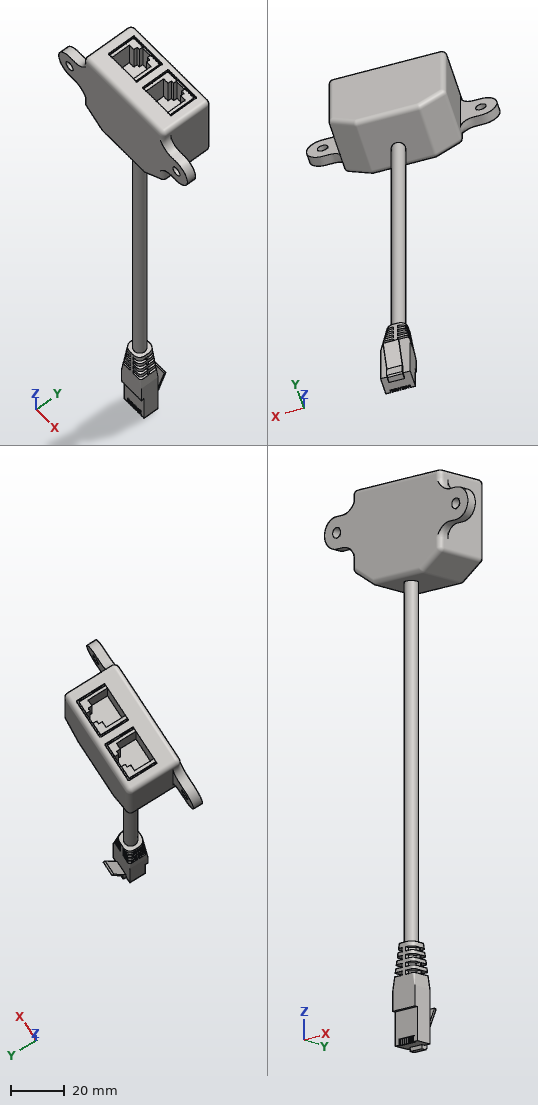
import cadquery as cq
import math

overall_length = 217.1
edge_radius = 2.0

housing_width = 45.5
housing_depth = 23.5
housing_height = 38.1
housing_bottom_width = 25.0
housing_corner_height = 6.8
front_y = -housing_depth / 2

ear_span = 73.75
ear_radius = 6.25
ear_thickness = 4.0
ear_height = 23.1
ear_hole_diameter = 4.0
ear_blend_radius = 5.0

socket_spacing = 19.6
socket_width = 16.4
socket_front_y = -3.6
socket_back_y = 8.8
socket_gap = 0.65
socket_gap_depth = 1.0
socket_face_depth = 0.2
socket_depth = 12.0
port_steps = [(12.4, 4.9), (7.2, 6.5), (4.6, socket_back_y - socket_gap)]

cable_diameter = 5.4
cable_y = -3.6

boot_top_z = -138.8
boot_top_width = 8.3
boot_width = 11.5
boot_depth = 8.1
boot_taper_length = 17.6
boot_length = 25.5
boot_top_corner = 3.0
boot_end_corner = 0.1
groove_count = 4
groove_first = 1.95
groove_pitch = 3.0
groove_height = 1.5
front_spine_width = 1.8
side_spine_width = 0.65

plug_length = 38.6
plug_step = 1.3
contact_count = 8
contact_pitch = 1.02
contact_slot_width = 0.55
contact_slot_height = 2.3
contact_slot_depth = 1.0

latch_width = 6.0
latch_height = 16.6
latch_reach = 6.1
latch_thickness = 0.9
latch_standoff = 1.2
latch_elbow_height = 5.4
latch_toe = 1.6
latch_toe_chamfer = 0.6

boot_back_y = cable_y + boot_depth / 2
boot_front_y = cable_y - boot_depth / 2
boot_end_z = boot_top_z - boot_length
plug_end_z = boot_top_z - plug_length
part_bottom_z = housing_height - overall_length


def block(x0, x1, y0, y1, z0, z1):
    """Axis-aligned block between two opposite corners."""
    return cq.Workplane("XY").box(x1 - x0, y1 - y0, z1 - z0, centered=False).translate((x0, y0, z0))


def make_housing():
    """Box with two sloped lower corners and every edge rounded."""
    half = housing_width / 2
    half_bottom = housing_bottom_width / 2
    outline = [
        (-half, housing_height),
        (half, housing_height),
        (half, housing_corner_height),
        (half_bottom, 0),
        (-half_bottom, 0),
        (-half, housing_corner_height),
    ]
    body = cq.Workplane("XZ").polyline(outline).close().extrude(housing_depth / 2, both=True)
    return body.edges().fillet(edge_radius)


def blend_section(origin):
    """Concave corner section above the ear, measured from the axis of the rounded front edge."""
    sweep_radius = edge_radius + ear_blend_radius
    ear_top = ear_height + ear_radius
    blend_top = ear_top + ear_blend_radius
    arc_offset = ear_blend_radius * math.sqrt(0.5)
    return (
        cq.Workplane("XZ", origin=origin)
        .moveTo(0, ear_top)
        .lineTo(sweep_radius, ear_top)
        .threePointArc((sweep_radius - arc_offset, blend_top - arc_offset), (edge_radius, blend_top))
        .lineTo(0, blend_top)
        .close()
    )


def make_ear_blend():
    """Blend above the right-hand ear, following the rounded front edge of the housing."""
    axis_x = housing_width / 2 - edge_radius
    axis_y = front_y + edge_radius
    axis_point = (axis_x, axis_y, 0)
    outer_x = axis_x + edge_radius + ear_blend_radius
    front_quarter = block(axis_x, outer_x, front_y, axis_y, 0, housing_height)
    round_part = blend_section(axis_point).revolve(360, (0, 0), (0, 1)).intersect(front_quarter)
    straight_part = blend_section(axis_point).extrude(-(ear_thickness - edge_radius))
    return round_part.union(straight_part)


def make_ears():
    """Flat rounded bar across the housing front, with blends where it meets the housing sides."""
    bar = (
        cq.Workplane("XZ", origin=(0, front_y, ear_height))
        .slot2D(ear_span, 2 * ear_radius)
        .extrude(-ear_thickness)
    )
    upper = make_ear_blend()
    lower = upper.mirror("XY", (0, 0, ear_height))
    blends = upper.union(lower)
    return bar.union(blends).union(blends.mirror("YZ"))


def make_ear_holes():
    """Screw holes on the centres of the ear ends."""
    hole_spacing = ear_span - 2 * ear_radius
    return (
        cq.Workplane("XZ", origin=(0, front_y, ear_height))
        .rarray(hole_spacing, 1, 2, 1)
        .circle(ear_hole_diameter / 2)
        .extrude(-ear_thickness)
    )


def make_socket(center_x):
    """Cavity of one socket: slightly sunken face, groove on three sides of it and stepped port opening."""
    half = socket_width / 2
    floor_z = housing_height - socket_depth
    cavity = block(
        center_x - half,
        center_x + half,
        socket_front_y,
        socket_back_y,
        housing_height - socket_gap_depth,
        housing_height,
    ).cut(
        block(
            center_x - half + socket_gap,
            center_x + half - socket_gap,
            socket_front_y,
            socket_back_y - socket_gap,
            housing_height - socket_gap_depth,
            housing_height - socket_face_depth,
        )
    )
    for width, back_y in port_steps:
        cavity = cavity.union(
            block(center_x - width / 2, center_x + width / 2, socket_front_y, back_y, floor_z, housing_height)
        )
    return cavity


def make_cable():
    """Round cable from the lower end of the boot into the middle of the housing."""
    return (
        cq.Workplane("XY", origin=(0, cable_y, boot_end_z))
        .circle(cable_diameter / 2)
        .extrude(housing_height / 2 - boot_end_z)
    )


def rounded_section(width, depth, radius, z):
    """Rounded rectangle centred on the cable at height z."""
    sketch = cq.Sketch().rect(width, depth).vertices().fillet(radius)
    return sketch.moved(cq.Location(cq.Vector(0, cable_y, z)))


def make_boot():
    """Boot tapering toward the cable, grooved down to the cable between four spines."""
    taper_end_z = boot_top_z - boot_taper_length
    taper = (
        cq.Workplane("XY")
        .placeSketch(
            rounded_section(boot_width, boot_depth, boot_end_corner, taper_end_z),
            rounded_section(boot_top_width, boot_depth, boot_top_corner, boot_top_z),
        )
        .loft()
    )
    spines = block(
        -front_spine_width / 2, front_spine_width / 2, boot_front_y, boot_back_y, boot_end_z, boot_top_z
    ).union(
        block(
            -boot_width / 2,
            boot_width / 2,
            cable_y - side_spine_width / 2,
            cable_y + side_spine_width / 2,
            boot_end_z,
            boot_top_z,
        )
    )
    for index in range(groove_count):
        groove_top = boot_top_z - groove_first - index * groove_pitch
        groove = block(
            -boot_width / 2, boot_width / 2, boot_front_y, boot_back_y, groove_top - groove_height, groove_top
        )
        taper = taper.cut(groove.cut(spines).cut(make_cable()))
    base = block(-boot_width / 2, boot_width / 2, boot_front_y, boot_back_y, boot_end_z, taper_end_z)
    return taper.union(base)


def make_plug():
    """Plug body, set back at the front, with a row of contact slots at its lower end."""
    plug_front_y = boot_front_y + plug_step
    plug = block(-boot_width / 2, boot_width / 2, plug_front_y, boot_back_y, plug_end_z, boot_end_z)
    for index in range(contact_count):
        slot_x = (index - (contact_count - 1) / 2) * contact_pitch
        slot = block(
            slot_x - contact_slot_width / 2,
            slot_x + contact_slot_width / 2,
            plug_front_y,
            plug_front_y + contact_slot_depth,
            plug_end_z,
            plug_end_z + contact_slot_height,
        )
        plug = plug.cut(slot)
    return plug


def make_latch():
    """Sprung latch: toe under the plug end, upright root and an arm leaning away from the plug."""
    outer_y = boot_back_y + latch_standoff
    tip_y = boot_back_y + latch_reach
    tip_z = part_bottom_z + latch_height
    elbow_z = part_bottom_z + latch_elbow_height
    lean = math.atan2(tip_y - outer_y, tip_z - elbow_z)
    inner_tip_y = tip_y - latch_thickness * math.cos(lean)
    inner_tip_z = tip_z + latch_thickness * math.sin(lean)
    inner_root_z = inner_tip_z - (inner_tip_y - boot_back_y) / math.tan(lean)
    profile = [
        (boot_back_y, inner_root_z),
        (inner_tip_y, inner_tip_z),
        (tip_y, tip_z),
        (outer_y, elbow_z),
        (outer_y, part_bottom_z + latch_toe_chamfer),
        (outer_y - latch_toe_chamfer, part_bottom_z),
        (boot_back_y - latch_toe, part_bottom_z),
        (boot_back_y - latch_toe, plug_end_z),
        (boot_back_y, plug_end_z),
    ]
    return cq.Workplane("YZ").polyline(profile).close().extrude(latch_width / 2, both=True)


housing = make_housing().union(make_ears()).cut(make_ear_holes())
for side in (-1, 1):
    housing = housing.cut(make_socket(side * socket_spacing / 2))

result = housing.union(make_cable()).union(make_boot()).union(make_plug()).union(make_latch())